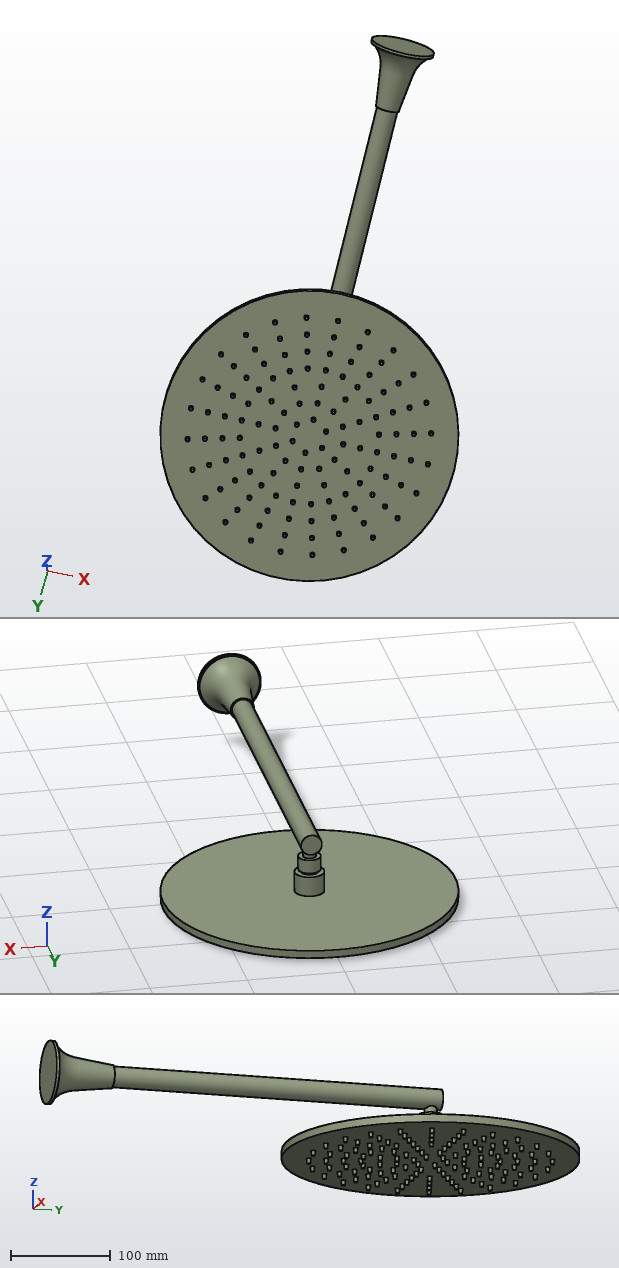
import cadquery as cq
import math


total_length = 549.0
total_height = 99.5

plate_radius = 150.0
plate_thickness = 8.0

nozzle_height = 5.0
nozzle_base_radius = 2.3
nozzle_tip_radius = 1.5
outer_ring_radius = 122.5
nozzles_per_ring = [6, 12, 12, 24, 24, 24, 24]
ring_pitch = outer_ring_radius / len(nozzles_per_ring)

collar_radius = 30.0 / 2
collar_top = 29.0
neck_radius = 9.0
neck_top = 32.0
nut_radius = 11.5
nut_top = 46.0
stem_radius = 6.5

flange_radius = 64.0 / 2
rim_thickness = 3.5
flare_radius = 31.0
flare_length = 26.5
cone_large_radius = 17.0
cone_small_radius = 12.0
cone_start = 65.0
end_band_length = 1.5

arm_radius = 21.5 / 2
arm_tip_y = 10.5

flange_length = cone_start + end_band_length
wall_y = plate_radius - total_length
arm_z = total_height - nozzle_height - flange_radius


def cylinder_up(radius, bottom, top):
    """Vertical cylinder on the plate axis."""
    return cq.Workplane("XY").workplane(offset=bottom).circle(radius).extrude(top - bottom)


def make_nozzle(x, y):
    """Downward-tapering nozzle on the underside of the plate."""
    return cq.Solid.makeCone(
        nozzle_base_radius,
        nozzle_tip_radius,
        nozzle_height,
        pnt=cq.Vector(x, y, 0),
        dir=cq.Vector(0, 0, -1),
    )


def make_spray_plate():
    """Round plate carrying the nozzle rings; each ring has a nozzle on +Y."""
    plate = cylinder_up(plate_radius, 0, plate_thickness)
    nozzles = []
    for ring_number, count in enumerate(nozzles_per_ring, start=1):
        ring_radius = ring_number * ring_pitch
        for i in range(count):
            angle = math.pi / 2 + 2 * math.pi * i / count
            nozzles.append(make_nozzle(ring_radius * math.cos(angle), ring_radius * math.sin(angle)))
    return plate.union(cq.Workplane("XY").newObject(nozzles).combine())


def make_swivel():
    """Collar, neck, nut and stem stacked between the plate and the arm."""
    collar = cylinder_up(collar_radius, plate_thickness, collar_top)
    neck = cylinder_up(neck_radius, collar_top, neck_top)
    nut = cylinder_up(nut_radius, neck_top, nut_top)
    stem = cylinder_up(stem_radius, nut_top, arm_z)
    return collar.union(neck).union(nut).union(stem)


def make_arm():
    """Straight round arm from the wall face to just past the swivel."""
    tip_plane = cq.Workplane("XZ", origin=(0, arm_tip_y, arm_z))
    return tip_plane.circle(arm_radius).extrude(arm_tip_y - wall_y)


def make_wall_flange():
    """Trumpet-shaped flange: a banded cone flaring tangentially out to a thin rim."""
    profile = (
        cq.Workplane("XY")
        .moveTo(0, 0)
        .lineTo(0, flange_length)
        .lineTo(cone_small_radius, flange_length)
        .lineTo(cone_small_radius, cone_start)
        .lineTo(cone_large_radius, flare_length)
        .tangentArcPoint((flare_radius, rim_thickness), relative=False)
        .lineTo(flange_radius, rim_thickness)
        .lineTo(flange_radius, 0)
        .close()
    )
    flange = profile.revolve(360, (0, 0, 0), (0, 1, 0))
    return flange.translate((0, wall_y, arm_z))


result = (
    make_spray_plate()
    .union(make_swivel())
    .union(make_arm())
    .union(make_wall_flange())
)